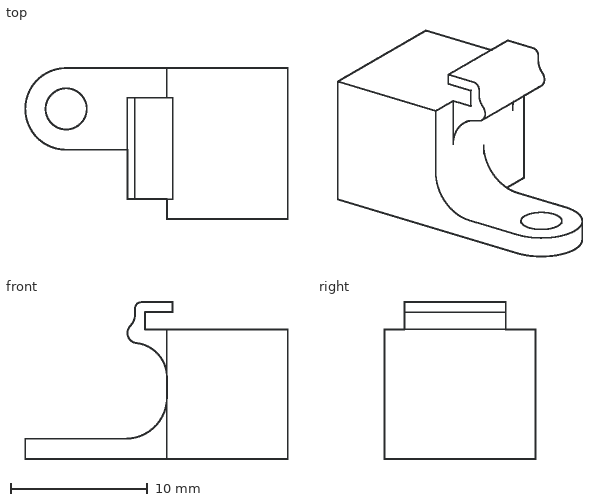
import cadquery as cq
import math


total_length = 19.23
block_front_x = 10.37
block_width = 11.07
block_height = 9.5

lug_width = 6.0
lug_thickness = 1.5
lug_fillet_radius = 3.0
lug_hole_diameter = 3.0
lug_end_radius = lug_width / 2

clip_width = 7.43
clip_side_inset = 2.18
clip_top_z = 11.5
clip_wall = 0.75
clip_outer_x = 8.03
lip_end_x = 10.8
clip_corner_radius = 0.5
bead_radius = 0.75
bead_overhang = 0.55
neck_radius = 1.2
underside_radius = 2.5
underside_start_z = 6.0


def arc_point(center, radius, angle):
    """Point on a circle in the XZ plane, with the angle in radians from +X."""
    return (center[0] + radius * math.cos(angle), center[1] + radius * math.sin(angle))


def extrude_toward_front(outline, y_start, width):
    """Extrude a closed XZ outline from y_start toward -Y."""
    return outline.extrude(width).translate((0, y_start, 0))


def make_block():
    outline = cq.Workplane("XZ").moveTo(block_front_x, 0).lineTo(total_length, 0)
    outline = outline.lineTo(total_length, block_height).lineTo(block_front_x, block_height).close()
    return extrude_toward_front(outline, 0, block_width)


def make_lug():
    fillet_center = (block_front_x - lug_fillet_radius, lug_thickness + lug_fillet_radius)
    outline = (
        cq.Workplane("XZ")
        .moveTo(lug_end_radius, 0)
        .lineTo(block_front_x, 0)
        .lineTo(block_front_x, fillet_center[1])
        .threePointArc(
            arc_point(fillet_center, lug_fillet_radius, -math.pi / 4),
            (fillet_center[0], lug_thickness),
        )
        .lineTo(lug_end_radius, lug_thickness)
        .close()
    )
    arm = extrude_toward_front(outline, 0, lug_width)

    end_plane = cq.Workplane("XY").center(lug_end_radius, -lug_width / 2)
    rounded_end = end_plane.circle(lug_end_radius).extrude(lug_thickness)
    hole = end_plane.circle(lug_hole_diameter / 2).extrude(lug_thickness)
    return arm.union(rounded_end).cut(hole)


def make_clip():
    clip_inner_x = clip_outer_x + clip_wall
    lip_bottom_z = clip_top_z - clip_wall
    corner_center = (clip_outer_x + clip_corner_radius, clip_top_z - clip_corner_radius)
    underside_center = (block_front_x - underside_radius, underside_start_z)

    bead_center_x = clip_outer_x - bead_overhang + bead_radius
    bead_offset = bead_center_x - underside_center[0]
    bead_rise = math.sqrt((bead_radius + underside_radius) ** 2 - bead_offset**2)
    bead_center = (bead_center_x, underside_start_z + bead_rise)
    bead_foot_angle = math.atan2(bead_rise, bead_offset)
    bead_foot = arc_point(underside_center, underside_radius, bead_foot_angle)

    neck_center_x = clip_outer_x - neck_radius
    neck_run = bead_center[0] - neck_center_x
    neck_rise = math.sqrt((neck_radius + bead_radius) ** 2 - neck_run**2)
    neck_center = (neck_center_x, bead_center[1] + neck_rise)
    neck_end_angle = -math.atan2(neck_rise, neck_run)
    neck_end = arc_point(neck_center, neck_radius, neck_end_angle)

    outline = (
        cq.Workplane("XZ")
        .moveTo(block_front_x, block_height)
        .lineTo(clip_inner_x, block_height)
        .lineTo(clip_inner_x, lip_bottom_z)
        .lineTo(lip_end_x, lip_bottom_z)
        .lineTo(lip_end_x, clip_top_z)
        .lineTo(corner_center[0], clip_top_z)
        .threePointArc(
            arc_point(corner_center, clip_corner_radius, 3 * math.pi / 4),
            (clip_outer_x, corner_center[1]),
        )
        .lineTo(clip_outer_x, neck_center[1])
        .threePointArc(arc_point(neck_center, neck_radius, neck_end_angle / 2), neck_end)
        .threePointArc(arc_point(bead_center, bead_radius, math.pi), bead_foot)
        .threePointArc(
            arc_point(underside_center, underside_radius, bead_foot_angle / 2),
            (block_front_x, underside_start_z),
        )
        .close()
    )
    return extrude_toward_front(outline, -clip_side_inset, clip_width)


result = make_block().union(make_lug()).union(make_clip())